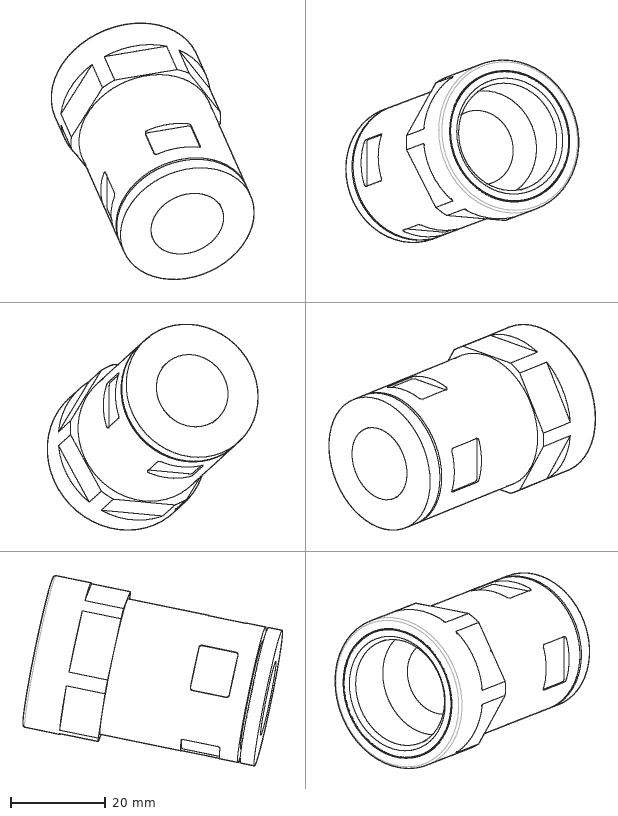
import cadquery as cq
import math

length = 50.0
hex_start = 8.1
hex_end = 16.5
groove_start = 46.4
groove_end = 46.95

collar_diameter = 33.0
collar_round = 0.5
hex_across_flats = 30.0
body_diameter = 29.5
groove_diameter = 23.4

mouth_diameter = 25.0
mouth_chamfer_length = 1.0
socket_diameter = 23.15
socket_depth = 11.0
through_diameter = 16.0
cone_length = 4.0

gap_outer_diameter = 28.3
gap_inner_diameter = 27.9
gap_depth = 0.5

pocket_start = 34.0
pocket_length = 8.45
pocket_width = 10.1
pocket_corner_radius = 0.6
pocket_floor_height = 13.4
pocket_count = 4


def cylinder(diameter, start, end):
    return cq.Workplane("YZ", origin=(start, 0, 0)).circle(diameter / 2).extrude(end - start)


def make_outside():
    collar = cylinder(collar_diameter, 0, hex_start).faces("<X").edges().fillet(collar_round)
    hexagon = (
        cq.Workplane("YZ", origin=(hex_start, 0, 0))
        .polygon(6, hex_across_flats / math.cos(math.pi / 6))
        .extrude(hex_end - hex_start)
        .intersect(cylinder(collar_diameter, hex_start, hex_end))
    )
    body = cylinder(body_diameter, hex_end, groove_start)
    groove_core = cylinder(groove_diameter, groove_start, groove_end)
    end_ring = cylinder(body_diameter, groove_end, length)
    return collar.union(hexagon).union(body).union(groove_core).union(end_ring)


def make_bore():
    return (
        cq.Workplane("XY")
        .moveTo(0, 0)
        .lineTo(0, mouth_diameter / 2)
        .lineTo(mouth_chamfer_length, socket_diameter / 2)
        .lineTo(socket_depth, socket_diameter / 2)
        .lineTo(socket_depth + cone_length, through_diameter / 2)
        .lineTo(length, through_diameter / 2)
        .lineTo(length, 0)
        .close()
        .revolve(360, (0, 0, 0), (1, 0, 0))
    )


def make_ring_gap():
    return cylinder(gap_outer_diameter, 0, gap_depth).cut(cylinder(gap_inner_diameter, 0, gap_depth))


def make_pocket(angle):
    pocket = (
        cq.Workplane("XY", origin=(pocket_start + pocket_length / 2, 0, pocket_floor_height))
        .rect(pocket_length, pocket_width)
        .extrude(body_diameter / 2)
        .edges("|Z")
        .fillet(pocket_corner_radius)
    )
    return pocket.rotate((0, 0, 0), (1, 0, 0), angle)


result = make_outside().cut(make_bore()).cut(make_ring_gap())
for index in range(pocket_count):
    result = result.cut(make_pocket(index * 360 / pocket_count))